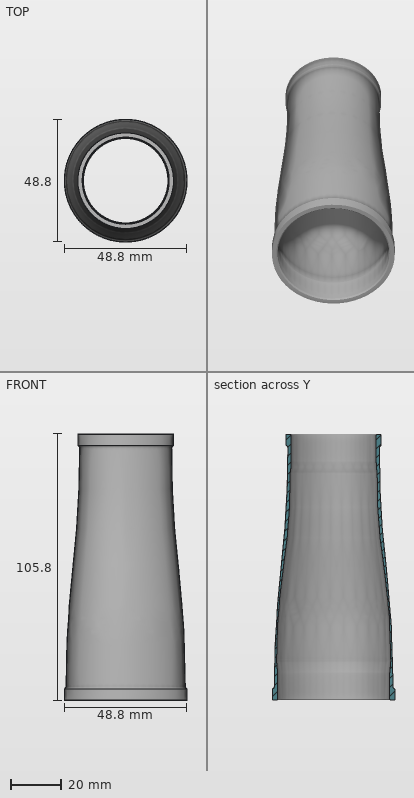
import cadquery as cq
import math

LENGTH = 105.8
TOP_COLLAR_RADIUS = 19.0
BOTTOM_COLLAR_RADIUS = 24.4

COLLAR_HEIGHT = 4.5
COLLAR_CHAMFER = 0.35
COLLAR_STEP = 0.7
BODY_START = 5.5

COLLAR_WALL = 2.2
MOUTH_CHAMFER = 0.5
SOCKET_DEPTH = 11.0
TAPER_DEPTH = 15.4
RELIEF_DEPTH = 16.3
BODY_WALL = 1.1

PROFILE_PLANE = cq.Plane(origin=(0, 0, 0), xDir=(0, -1, 0), normal=(-1, 0, 0))


def height_at(depth, from_top):
    """Height of a level lying `depth` inside the chosen end."""
    return LENGTH - depth if from_top else depth


def add_s_curve(profile, start, end):
    """Append two equal, mirrored curves that run from start to end and are vertical at both."""
    rise = end[0] - start[0]
    run = end[1] - start[1]
    middle = (start[0] + rise / 2, start[1] + run / 2)
    vertical = (0, math.copysign(1, run))
    lean = 2 * math.atan(rise / abs(run))
    slanted = (math.sin(lean), math.copysign(math.cos(lean), run))
    profile = profile.spline([middle], tangents=[vertical, slanted], includeCurrent=True)
    return profile.spline([end], tangents=[slanted, vertical], includeCurrent=True)


def collar_points(collar_radius, from_top):
    """Collar outline from the end face inward: end edge, chamfer, fillet middle, body start."""
    body_radius = collar_radius - COLLAR_STEP
    chamfer_end = COLLAR_HEIGHT + COLLAR_CHAMFER
    fillet_width = COLLAR_STEP - COLLAR_CHAMFER
    fillet_height = BODY_START - chamfer_end
    fillet_radius = (fillet_width**2 + fillet_height**2) / (2 * fillet_width)
    half_angle = math.asin(fillet_height / fillet_radius) / 2
    middle_radius = body_radius + fillet_radius * (1 - math.cos(half_angle))
    middle_depth = BODY_START - fillet_radius * math.sin(half_angle)
    levels = [
        (collar_radius, 0),
        (collar_radius, COLLAR_HEIGHT),
        (collar_radius - COLLAR_CHAMFER, chamfer_end),
        (middle_radius, middle_depth),
        (body_radius, BODY_START),
    ]
    return [(radius, height_at(depth, from_top)) for radius, depth in levels]


def bore_points(collar_radius, from_top):
    """Bore outline from the end face inward, up to where the curved bore begins."""
    socket_radius = collar_radius - COLLAR_WALL
    bore_radius = collar_radius - COLLAR_STEP - BODY_WALL
    levels = [
        (socket_radius + MOUTH_CHAMFER, 0),
        (socket_radius, MOUTH_CHAMFER),
        (socket_radius, SOCKET_DEPTH),
        (bore_radius, TAPER_DEPTH),
        (bore_radius, RELIEF_DEPTH),
    ]
    return [(radius, height_at(depth, from_top)) for radius, depth in levels]


def tube_profile():
    """Closed wall section: up the outside, across the top face, down the bore."""
    bottom_collar = collar_points(BOTTOM_COLLAR_RADIUS, False)
    top_collar = collar_points(TOP_COLLAR_RADIUS, True)
    bottom_bore = bore_points(BOTTOM_COLLAR_RADIUS, False)
    top_bore = bore_points(TOP_COLLAR_RADIUS, True)

    edge, band_end, chamfer_end, fillet_middle, body_start = bottom_collar
    profile = cq.Workplane(PROFILE_PLANE).moveTo(*edge).lineTo(*band_end).lineTo(*chamfer_end)
    profile = profile.threePointArc(fillet_middle, body_start)

    edge, band_end, chamfer_end, fillet_middle, body_end = top_collar
    profile = add_s_curve(profile, body_start, body_end)
    profile = profile.threePointArc(fillet_middle, chamfer_end).lineTo(*band_end).lineTo(*edge)

    for point in top_bore:
        profile = profile.lineTo(*point)
    profile = add_s_curve(profile, top_bore[-1], bottom_bore[-1])
    for point in reversed(bottom_bore[:-1]):
        profile = profile.lineTo(*point)
    return profile.close()


result = tube_profile().revolve(360, (0, 0, 0), (0, 1, 0))